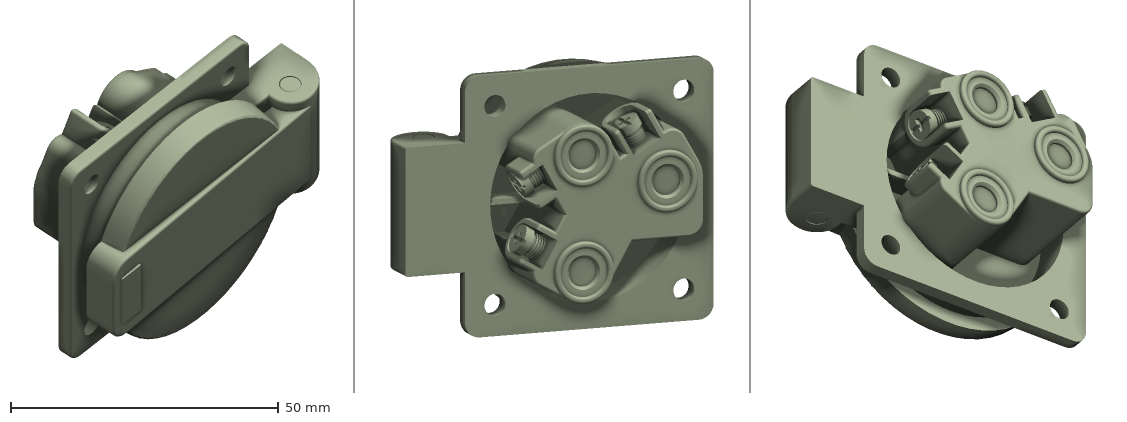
import cadquery as cq
import math


flange_side = 50.0
flange_thickness = 2.9
flange_corner = 3.0
flange_edge = 0.5
mount_hole = 4.2
mount_half_pitch = 19.0
body_dia = 43.6
bore_dia = 39.9
floor_x = 7.6
web_thickness = 1.1

lid_back = 8.45
lid_front = 13.4
lid_back_dia = 49.2
lid_front_dia = 47.9
lid_edge = 0.45

tab_end_y = -26.55
tab_corner = 4.05
arm_width = 20.05
arm_thin_x = 13.6
arm_thick_x = 15.2
arm_edge = 0.5
grip_center_y = -21.6
grip_length = 5.1
grip_width = 12.05
grip_front = 15.4

hinge_end_y = 36.95
hinge_width = 24.7
hinge_outer_radius = 7.0
hinge_edge = 0.5
pin_x = lid_back
pin_y = hinge_end_y - hinge_outer_radius
pin_dia = 4.2
pin_edge = 0.4
knuckle_radius = 4.95
hinge_foot_x = 7.4
hinge_foot_y = 18.05

insert_face_x = -13.2
insert_edge = 0.5
terminal_y = 6.5
terminal_z = 11.2
earth_y = -10.35
earth_z = 5.0
lobe_radius = 6.05
shoulder_y = 16.5
insert_end_y = -17.8
insert_low_z = -6.05
line_seat = 8.75
earth_seat = 9.0
earth_ledge = 8.4
earth_side = 7.35
pad_top = 11.55
pad_edge = 0.65
small_round = 2.55
large_round = 3.0
bend_round = 6.85

ferrule_top_x = -14.15
ferrule_radius = 6.0
ferrule_root_x = -11.4
rim_width = 1.35
rim_round = 0.6
rim_height = 0.65
ferrule_bore = 5.6
ferrule_bore_depth = 1.0
bore_round = 0.5

screw_x = -6.9
collar_radius = 4.3
collar_edge = 0.65
channel_radius = 3.05
channel_end = 7.6
line_lip = 12.45
earth_lip = 13.8
head_start = 10.4
head_end = 12.3
head_dia = 5.6
head_slot_width = 0.7
head_slot_depth = 0.6
head_cross_length = 2.55
head_cross_width = 1.2
head_cross_depth = 0.95
thread_dia = 4.8
thread_core_dia = 4.2
thread_pitch = 0.6

live = (terminal_y, terminal_z, -30, line_lip)
neutral = (terminal_y, -terminal_z, 30, line_lip)
earth = (earth_y, earth_z, 60, earth_lip)
terminals = (live, neutral, earth)


def cylinder(x_start, x_end, diameter, y=0, z=0):
    """Round bar along X."""
    return cq.Workplane("YZ", origin=(x_start, y, z)).circle(diameter / 2).extrude(x_end - x_start)


def on_circle(center, radius, degrees):
    """Point (y, z) at a distance and direction from a centre."""
    angle = math.radians(degrees)
    return (center[0] + radius * math.cos(angle), center[1] + radius * math.sin(angle))


def from_screw(terminal, along, across):
    """Point (y, z) measured along a terminal's screw axis and square to it."""
    start = on_circle(terminal, along, terminal[2])
    return on_circle(start, across, terminal[2] + 90)


def mirrored(point):
    return (point[0], -point[1])


def make_flange():
    plate = cq.Workplane("YZ").rect(flange_side, flange_side).extrude(flange_thickness)
    plate = plate.edges("|X").fillet(flange_corner)
    plate = plate.faces(">X").edges().fillet(flange_edge)
    pitch = 2 * mount_half_pitch
    holes = cq.Workplane("YZ").rect(pitch, pitch, forConstruction=True).vertices()
    return plate.cut(holes.circle(mount_hole / 2).extrude(flange_thickness))


def make_lid():
    lid = (
        cq.Workplane("YZ", origin=(lid_back, 0, 0))
        .circle(lid_back_dia / 2)
        .workplane(offset=lid_front - lid_back)
        .circle(lid_front_dia / 2)
        .loft()
    )
    return lid.faces(">X").edges().fillet(lid_edge)


def make_arm():
    arm = (
        cq.Workplane("XY", origin=(0, 0, -arm_width / 2))
        .moveTo(lid_back, pin_y)
        .lineTo(arm_thin_x, pin_y)
        .lineTo(arm_thick_x, tab_end_y)
        .lineTo(lid_back, tab_end_y)
        .close()
        .extrude(arm_width)
    )
    arm = arm.edges("|X and <Y").fillet(tab_corner)
    arm = arm.faces(">X").edges("not >Y").fillet(arm_edge)
    grip = cq.Workplane("YZ", origin=(lid_front, grip_center_y, 0)).rect(grip_length, grip_width)
    return arm.union(grip.extrude(grip_front - lid_front))


def make_hinge():
    diagonal = math.sqrt(0.5)
    outer_x = pin_x + knuckle_radius
    outer_center_x = outer_x - hinge_outer_radius
    outer_mid = (outer_center_x + hinge_outer_radius * diagonal, pin_y + hinge_outer_radius * diagonal)
    lower_mid = (pin_x + knuckle_radius * diagonal, pin_y - knuckle_radius * diagonal)
    block = (
        cq.Workplane("XY", origin=(0, 0, -hinge_width / 2))
        .moveTo(0, hinge_foot_y)
        .lineTo(0, hinge_end_y)
        .lineTo(outer_center_x, hinge_end_y)
        .threePointArc(outer_mid, (outer_x, pin_y))
        .threePointArc(lower_mid, (pin_x, pin_y - knuckle_radius))
        .lineTo(hinge_foot_x, pin_y - knuckle_radius)
        .lineTo(hinge_foot_x, hinge_foot_y)
        .close()
        .extrude(hinge_width)
    )
    block = block.faces(">Z or <Z").edges("not(<X or <Y)").fillet(hinge_edge)
    socket = cq.Workplane("XY", origin=(pin_x, pin_y, -hinge_width / 2)).circle(pin_dia / 2).extrude(hinge_width)
    pin = socket.faces(">Z or <Z").edges().fillet(pin_edge)
    return block.cut(socket).union(pin)


def make_insert():
    """Three-lobed block that carries the terminals, without its collars."""
    slope = math.tan(math.radians(30))
    notch_across = (line_seat / 2 - terminal_z) / math.cos(math.radians(30))
    notch = from_screw(live, line_seat, notch_across)
    seat_center = on_circle(live, line_seat, live[2])
    shoulder_root = (shoulder_y, seat_center[1])
    lobe_start = on_circle(live, lobe_radius, 60)
    lobe_end = on_circle(live, lobe_radius, 150)
    shoulder = (shoulder_y, lobe_start[1] - (shoulder_y - lobe_start[0]) * slope)

    lobe_offset_y = lobe_end[0] - earth_y
    lobe_offset_z = lobe_end[1] - earth_z
    lobe_across = (lobe_offset_z - lobe_offset_y / slope) / 2
    earth_notch = from_screw(earth, earth_seat, lobe_across)
    seat_end = from_screw(earth, earth_seat, channel_radius)
    ledge_start = from_screw(earth, earth_ledge, collar_radius)
    earth_corner = from_screw(earth, earth_ledge, earth_side)
    bend = (insert_end_y, earth_corner[1] - (earth_corner[0] - insert_end_y) / slope)
    low_corner = (insert_end_y, insert_low_z)
    neutral_side = mirrored(lobe_end)
    step = (neutral_side[0] - (insert_low_z - neutral_side[1]) * slope, insert_low_z)

    body = (
        cq.Workplane("YZ", origin=(insert_face_x, 0, 0))
        .moveTo(*notch)
        .lineTo(*seat_center)
        .lineTo(*shoulder_root)
        .lineTo(*shoulder)
        .lineTo(*lobe_start)
        .threePointArc(on_circle(live, lobe_radius, 105), lobe_end)
        .lineTo(*earth_notch)
        .lineTo(*seat_end)
        .lineTo(*ledge_start)
        .lineTo(*earth_corner)
        .lineTo(*bend)
        .lineTo(*low_corner)
        .lineTo(*step)
        .lineTo(*neutral_side)
        .threePointArc(on_circle(neutral, lobe_radius, -105), mirrored(lobe_start))
        .lineTo(*mirrored(shoulder))
        .lineTo(*mirrored(shoulder_root))
        .lineTo(*mirrored(seat_center))
        .close()
        .extrude(floor_x - insert_face_x)
    )
    corners = (
        (shoulder, small_round),
        (mirrored(shoulder), small_round),
        (earth_corner, large_round),
        (bend, bend_round),
        (low_corner, large_round),
    )
    middle_x = (insert_face_x + floor_x) / 2
    for (y, z), radius in corners:
        corner_edge = cq.selectors.NearestToPointSelector((middle_x, y, z))
        body = body.edges(corner_edge).fillet(radius)
    return body.faces("<X").edges().fillet(insert_edge)


def screw_plane(terminal, distance):
    """Plane square to a terminal's screw: local x is X, local z points along the screw."""
    y, z = on_circle(terminal, distance, terminal[2])
    normal = on_circle((0, 0), 1, terminal[2])
    return cq.Workplane(cq.Plane(origin=(0, y, z), xDir=(1, 0, 0), normal=(0, *normal)))


def u_block(terminal, start, end, radius):
    """Block along a screw, round towards +X and flat on the insert face."""
    return (
        screw_plane(terminal, start)
        .moveTo(insert_face_x, -radius)
        .lineTo(screw_x, -radius)
        .threePointArc((screw_x + radius, 0), (screw_x, radius))
        .lineTo(insert_face_x, radius)
        .close()
        .extrude(end - start)
    )


def make_collar(terminal):
    lip = terminal[3]
    block = u_block(terminal, channel_end, lip, collar_radius)
    outward = cq.Vector(0, *on_circle((0, 0), 1, terminal[2]))
    inner_end = cq.selectors.DirectionMinMaxSelector(outward, False)
    outer_end = cq.selectors.DirectionMinMaxSelector(outward, True)
    inner_edges = block.faces(inner_end).edges().vals()
    rounded = block.faces(outer_end).edges().vals() + block.faces("<X").edges().vals()
    rounded = [edge for edge in rounded if not any(edge.isSame(inner) for inner in inner_edges)]
    return block.newObject(rounded).fillet(collar_edge)


def make_pad():
    """Raised pad behind the earth collar, running on towards the flange."""
    corners = (
        from_screw(earth, channel_end, -collar_radius),
        from_screw(earth, pad_top, -collar_radius),
        from_screw(earth, pad_top, collar_radius),
        from_screw(earth, channel_end, collar_radius),
    )
    pad = cq.Workplane("YZ", origin=(screw_x, 0, 0)).polyline(corners).close().extrude(floor_x - screw_x)
    middle_x = (screw_x + floor_x) / 2
    for y, z in corners[1:3]:
        pad = pad.edges(cq.selectors.NearestToPointSelector((middle_x, y, z))).fillet(pad_edge)
    return pad


def make_screw(terminal):
    def bar(start, end, diameter):
        return screw_plane(terminal, start).center(screw_x, 0).circle(diameter / 2).extrude(end - start)

    screw = bar(channel_end - thread_pitch, head_start, thread_core_dia)
    for turn in range(int((head_start - channel_end) / thread_pitch)):
        start = channel_end + turn * thread_pitch
        screw = screw.union(bar(start, start + thread_pitch / 2, thread_dia))
    screw = screw.union(bar(head_start, head_end, head_dia))
    slots = (
        (head_dia, head_slot_width, head_slot_depth),
        (head_cross_width, head_cross_length, head_cross_depth),
    )
    for length, width, depth in slots:
        slot = screw_plane(terminal, head_end - depth).center(screw_x, 0).rect(length, width)
        screw = screw.cut(slot.extrude(depth))
    return screw


def make_ferrule(terminal):
    y, z = terminal[:2]
    ferrule = cylinder(ferrule_top_x, ferrule_root_x, 2 * ferrule_radius, y, z)
    recess = cylinder(ferrule_top_x, ferrule_top_x + rim_height, 2 * (ferrule_radius - rim_width), y, z)
    ferrule = ferrule.cut(recess)
    return ferrule.faces("<X").edges().fillet(rim_round)


def make_ferrule_bore(terminal):
    y, z = terminal[:2]
    seat = ferrule_top_x + rim_height
    bore = cylinder(seat, seat + ferrule_bore_depth, ferrule_bore, y, z)
    mouth = cq.Workplane("YZ", origin=(seat, y, z)).circle(ferrule_bore / 2 + bore_round)
    return bore.union(mouth.extrude(bore_round, taper=45))


result = make_flange().union(cylinder(0, lid_back, body_dia)).union(make_hinge())
result = result.cut(cylinder(0, floor_x, bore_dia))
web = cq.Workplane("XY").box(floor_x - flange_thickness, bore_dia, web_thickness)
result = result.union(web.translate(((floor_x + flange_thickness) / 2, 0, 0)))
result = result.union(make_lid()).union(make_arm())

insert = make_insert().union(make_pad())
for terminal in terminals:
    insert = insert.union(make_collar(terminal))
for terminal in terminals:
    insert = insert.cut(u_block(terminal, channel_end, terminal[3], channel_radius))
for terminal in terminals:
    insert = insert.union(make_screw(terminal)).union(make_ferrule(terminal))
for terminal in terminals:
    insert = insert.cut(make_ferrule_bore(terminal))
result = result.union(insert)